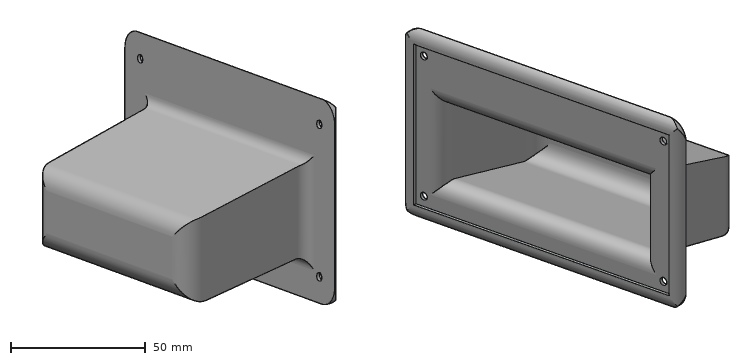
import cadquery as cq
import math

wall_thickness = 1.5

flange_width = 131.0
flange_height = 79.0
flange_thickness = 2.8
flange_corner_radius = 8.0
flange_edge_radius = 5.0
hole_diameter = 3.1
hole_spacing_x = 111.9
hole_spacing_z = 58.7

total_depth = 58.0
box_depth = total_depth - flange_thickness
root_half_width = 48.5
root_top = 13.4
root_bottom = -22.1
side_draft = 1.5
top_slope = 16.0
bottom_slope = 13.1
nose_radius = 8.0
root_radius = 4.5

arc_inset = math.sqrt(flange_edge_radius**2 - (flange_edge_radius - flange_thickness) ** 2)


def face_position(root_position, slope, y, inset):
    """Distance from the middle plane to a sloped face at depth y, moved inward by inset.

    A positive slope brings the face closer to the middle toward the nose.
    """
    angle = math.radians(slope)
    return root_position + y * math.tan(angle) - inset / math.cos(angle)


def make_flange():
    """Plate whose back edges are rounded by an arc that stops at the front face."""
    overhang = flange_edge_radius - arc_inset
    block_depth = 2 * flange_edge_radius
    block = (
        cq.Workplane("XY")
        .box(flange_width + 2 * overhang, block_depth, flange_height + 2 * overhang)
        .translate((0, flange_thickness - block_depth / 2, 0))
        .faces(">Y").edges().fillet(flange_edge_radius)
    )
    outline = (
        cq.Workplane("XZ")
        .rect(flange_width, flange_height)
        .extrude(-flange_thickness)
        .edges("|Y").fillet(flange_corner_radius)
    )
    return block.intersect(outline)


def make_box(inset):
    """Sloped, drafted box with a rounded nose, its faces moved inward by inset."""
    root_y = inset
    nose_y = inset - box_depth
    side_points = []
    plan_points = []
    for y in (root_y, nose_y):
        top = face_position(root_top, top_slope, y, inset)
        bottom = -face_position(-root_bottom, -bottom_slope, y, inset)
        half_width = face_position(root_half_width, side_draft, y, inset)
        side_points += [(y, top), (y, bottom)]
        plan_points += [(half_width, y), (-half_width, y)]
    side_profile = outline_from_pairs("YZ", side_points).extrude(flange_width / 2, both=True)
    plan_profile = outline_from_pairs("XY", plan_points).extrude(flange_height, both=True)
    box = side_profile.intersect(plan_profile)
    return box.faces("<Y").edges().fillet(nose_radius - inset)


def outline_from_pairs(plane, points):
    """Closed four-sided outline from two root points followed by two nose points."""
    root_a, root_b, nose_a, nose_b = points
    return cq.Workplane(plane).polyline([root_a, root_b, nose_b, nose_a]).close()


def blend_root(body, inset):
    """Round the edges where the box meets the flange."""
    margin = 0.1
    root_edges = body.edges(
        cq.selectors.BoxSelector(
            (-root_half_width - margin, inset - margin, root_bottom - margin),
            (root_half_width + margin, inset + margin, root_top + margin),
        )
    )
    return root_edges.fillet(root_radius + inset)


def make_cavity():
    """Hollow that leaves a constant wall behind the flange and inside the box."""
    rim = arc_inset + wall_thickness
    pocket = (
        cq.Workplane("XZ", origin=(0, wall_thickness, 0))
        .rect(flange_width - 2 * rim, flange_height - 2 * rim)
        .extrude(-(flange_thickness - wall_thickness))
    )
    return blend_root(pocket.union(make_box(wall_thickness)), wall_thickness)


def make_holes():
    """Four screw holes through the flange."""
    return (
        cq.Workplane("XZ")
        .rect(hole_spacing_x, hole_spacing_z, forConstruction=True)
        .vertices()
        .circle(hole_diameter / 2)
        .extrude(-flange_thickness)
    )


body = blend_root(make_flange().union(make_box(0)), 0)
result = body.cut(make_cavity()).cut(make_holes())